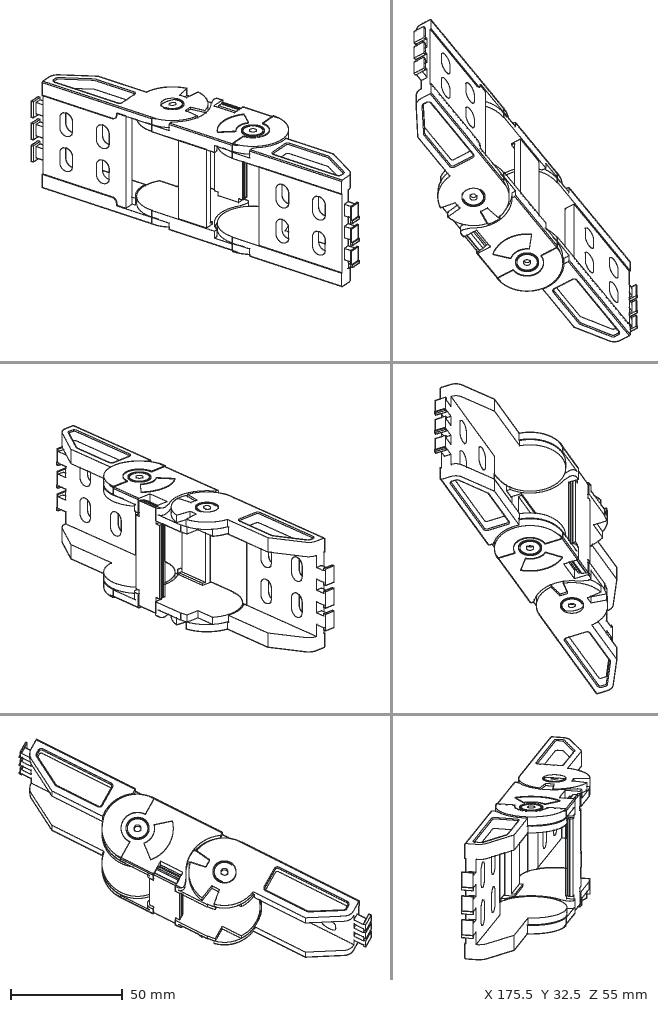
import cadquery as cq
import math


INNER_Z = 20.0
MID_Z = 23.5
RIGHT_TAB_Z = 23.1
OUTER_Z = 27.1
RAISED_Z = 27.5
EDGE_CHAMFER = 0.5
INNER = (INNER_Z, MID_Z)
OUTER = (MID_Z, OUTER_Z)
WHOLE = (INNER_Z, OUTER_Z)

HEIGHT = 32.5
PIVOT_Y = HEIGHT / 2
PIVOT_X = 22.0
DISC_R = 16.0
LINK_CLEARANCE_R = 17.3
BRACKET_CLEARANCE_R = 16.6
CLEARANCE_FOOT = 9.6
RING_R = 5.2
RING_WIDTH = 0.6
RING_DEPTH = 0.4
RAMP_DROP = 1.5
PIVOT_HOLE_R = 1.6
PIVOT_HOLE_DEPTH = 2.0

END_X = 81.75
ARM_Y = 18.6
NOSE_Y = 8.2
SLOPE_X = 64.2
NOSE_FILLET = 5.0
BASE_THICK = 5.3
BASE_RECESS = 0.5
BASE_EDGE_X = 36.3
RECESS_STEP = [(43.0, INNER_Z), (41.5, INNER_Z + 1), (41.0, MID_Z)]
MOUNT_SLOT = (6.9, 11.8)
MOUNT_SLOT_X = (49.0, 69.0)
MOUNT_SLOT_Z = 8.9

POCKET = [(41.5, 3.4), (41.5, 15.1), (63.8, 15.1), (78.1, 6.7), (78.1, 3.4)]
POCKET_DEPTH = 5.0
POCKET_FILLET = 1.0
POCKET_CHAMFER = 0.5

HOOK_PITCH = 11.2
STEM_WIDTH = 5.8
STEM_Y = 2.1
HEAD_WIDTH = 8.2
HEAD_THICK = 1.2
LIP_OUT = 0.5
HEAD_X = 87.75
LIP_HEIGHT = 1.3

NOTCH_BASE_R = 8.5
NOTCH_RIM_R = 17.5
NOTCH_BASE_WIDTH = 3.8
NOTCH_RIM_WIDTH = 6.6
LUG_TOP_Z = OUTER_Z - 1.0
MARK_DEPTH = 0.3

BAR_HALF = 7.65
FRONT_BAR_THICK = 3.2
BAR_FOOT_HEIGHT = 1.0
STOP_X = 25.6
STOP_Y = 25.2
RELIEF_TOP_X = 12.0
RELIEF_LOW_X = 16.5
RELIEF_LOW_Y = 2.5
RELIEF_FILLET = 2.0
CRESCENT_R = 7.4
SECTOR_R = (7.6, 16.0)
SECTOR_HALF_ANGLE = 40.5

CROSSBAR_Y = (28.6, 32.0)
CROSSBAR_HALF_LENGTH = 18.2
TONGUE_HALF = 5.6
TONGUE_Y = 25.2
TONGUE_FLOOR_Z = 22.0
TONGUE_STEPS = [(TONGUE_Y, TONGUE_FLOOR_Z), (26.0, 22.3), (27.2, 24.5), (28.0, 24.5), (29.0, 25.5),
                (31.0, 25.5), (31.0, 26.0), (CROSSBAR_Y[1], 26.0)]
GROOVE_Y = (29.4, 30.5)
GROOVE_WIDTH = 0.2
GROOVE_DEPTH = 0.5


def block(x, y, z):
    """Box from (min, max) pairs."""
    return cq.Workplane("XY").box(
        x[1] - x[0], y[1] - y[0], z[1] - z[0], centered=False
    ).translate((x[0], y[0], z[0]))


def disc(x, radius, z):
    """Round plate about a pivot between two Z levels."""
    return (cq.Workplane("XY", origin=(x, PIVOT_Y, z[0]))
            .circle(radius).extrude(z[1] - z[0]))


def plate(points, z):
    """Plate with a straight-sided XY outline between two Z levels."""
    return (cq.Workplane("XY", origin=(0, 0, z[0]))
            .polyline(points).close().extrude(z[1] - z[0]))


def with_mirror(cheek):
    """The cheek together with its twin on the -Z side."""
    return cheek.union(cheek.mirror("XY"))


def edge_bevel(y, direction):
    """Wedge that bevels a cheek's outer long edge at y; direction is +1 or -1 into the cheek."""
    c = EDGE_CHAMFER
    return (cq.Workplane("YZ", origin=(-END_X, 0, 0))
            .polyline([(y, OUTER_Z - c), (y, OUTER_Z + c),
                       (y + 2 * c * direction, OUTER_Z + c)]).close()
            .extrude(2 * END_X))


def pivot_ring(x, top_z):
    """Shallow ring groove and blind centre hole cut into a pivot."""
    ring = disc(x, RING_R, (top_z - RING_DEPTH, top_z)).cut(
        disc(x, RING_R - RING_WIDTH, (top_z - RING_DEPTH, top_z)))
    return ring.union(disc(x, PIVOT_HOLE_R, (top_z - PIVOT_HOLE_DEPTH, top_z)))


def arm(z):
    """Straight arm with its sloped nose, ending at the pivot."""
    outline = [(-END_X, 0), (-PIVOT_X, 0), (-PIVOT_X, ARM_Y), (-SLOPE_X, ARM_Y), (-END_X, NOSE_Y)]
    return plate(outline, z).edges(
        cq.selectors.NearestToPointSelector((-END_X, NOSE_Y, (z[0] + z[1]) / 2))
    ).fillet(NOSE_FILLET)


def cheek_pocket():
    """Five-sided pocket in the arm's outer face, with a chamfered rim."""
    outline = [(-x, y) for x, y in POCKET]
    body = plate(outline, (OUTER_Z - POCKET_DEPTH, OUTER_Z)).edges("|Z").fillet(POCKET_FILLET)
    flare = (cq.Workplane("XY", origin=(0, 0, OUTER_Z))
             .add(body.faces(">Z").wires().vals()).toPending()
             .offset2D(POCKET_CHAMFER).extrude(-POCKET_CHAMFER, taper=45))
    return body.union(flare)


def bracket_clearance(z, foot_x):
    """Room for the link's disc; foot_x is the straight wall near the front edge."""
    return disc(-PIVOT_X, BRACKET_CLEARANCE_R, z).union(
        block((foot_x, 0), (0, BASE_THICK), z))


def hook(z, lip):
    """T-shaped hook; a lipped one has a shorter head whose -Z end steps outward."""
    tip = -HEAD_X + LIP_OUT if lip else -HEAD_X
    stem = block((tip, -END_X), (STEM_Y, BASE_THICK), (z - STEM_WIDTH / 2, z + STEM_WIDTH / 2))
    low = z - HEAD_WIDTH / 2
    body = stem.union(block((tip, -HEAD_X + HEAD_THICK), (0, BASE_THICK), (low, low + HEAD_WIDTH)))
    if lip:
        body = body.union(block((-HEAD_X, tip), (0, BASE_THICK), (low, low + LIP_HEIGHT)))
    return body


def base_panel():
    """Panel joining the two cheeks, with four mounting slots."""
    panel = block((-END_X, -BASE_EDGE_X), (BASE_RECESS, BASE_THICK), (-INNER_Z, INNER_Z))
    centers = [(-x, z) for x in MOUNT_SLOT_X for z in (-MOUNT_SLOT_Z, MOUNT_SLOT_Z)]
    slots = (cq.Workplane("XZ").pushPoints(centers)
             .slot2D(MOUNT_SLOT[1], MOUNT_SLOT[0], 90).extrude(-BASE_THICK))
    return panel.cut(slots)


def make_bracket(disc_layer, arm_layer, clearance_foot, lip):
    """Bracket in its left-hand place: disc in disc_layer, arm_layer cut back to clear the link."""
    cheek = arm(WHOLE).cut(bracket_clearance(arm_layer, clearance_foot))
    cheek = cheek.union(disc(-PIVOT_X, DISC_R, disc_layer))
    cheek = cheek.union(block((-PIVOT_X - DISC_R, -PIVOT_X), (0, PIVOT_Y), disc_layer))
    cheek = cheek.cut(edge_bevel(0, 1)).cut(cheek_pocket())
    body = with_mirror(cheek).union(base_panel())
    for step in (-1, 0, 1):
        body = body.union(hook(step * HOOK_PITCH, lip))
    return body


def notch(angle, z):
    """Tapered slot running out through the left disc's rim."""
    a, b = NOTCH_BASE_WIDTH / 2, NOTCH_RIM_WIDTH / 2
    outline = [(NOTCH_BASE_R, -a), (NOTCH_RIM_R, -b), (NOTCH_RIM_R, b), (NOTCH_BASE_R, a)]
    return (plate(outline, z).rotate((0, 0, 0), (0, 0, 1), angle)
            .translate((-PIVOT_X, PIVOT_Y, 0)))


def hub_ramp():
    """The outer half of the left hub slopes down away from the pivot's centre line."""
    ramp = (cq.Workplane("XZ", origin=(-PIVOT_X, PIVOT_Y + RING_R, 0))
            .polyline([(-RING_R, OUTER_Z), (0, OUTER_Z), (-RING_R, OUTER_Z - RAMP_DROP)]).close()
            .extrude(2 * RING_R))
    return ramp.intersect(disc(-PIVOT_X, RING_R, WHOLE))


def left_recess():
    """Widened recess in front of the left panel, beside the disc."""
    outline = [(-x, z) for x, z in RECESS_STEP] + [(-BASE_EDGE_X, MID_Z), (-BASE_EDGE_X, INNER_Z)]
    return (cq.Workplane("XZ").polyline(outline).close().extrude(-BASE_RECESS))


left_cuts = (notch(90, OUTER)
             .union(notch(0, OUTER))
             .union(pivot_ring(-PIVOT_X, OUTER_Z))
             .union(hub_ramp())
             .union(left_recess()))
left_bracket = make_bracket(OUTER, INNER, -BASE_EDGE_X, False).cut(with_mirror(left_cuts))

right_bracket = make_bracket((INNER_Z, RIGHT_TAB_Z), (RIGHT_TAB_Z, OUTER_Z),
                             -PIVOT_X - CLEARANCE_FOOT, True).mirror("YZ")


def link_clearance(z):
    """Room for a bracket disc, drawn at the left pivot."""
    relief = [(0, 0), (RELIEF_LOW_X, 0), (RELIEF_LOW_X, RELIEF_LOW_Y), (RELIEF_TOP_X, PIVOT_Y),
              (-DISC_R, PIVOT_Y)]
    return (disc(-PIVOT_X, LINK_CLEARANCE_R, z)
            .union(plate(relief, z).translate((-PIVOT_X, PIVOT_Y, 0)))
            .union(block((-PIVOT_X - DISC_R, -PIVOT_X + CLEARANCE_FOOT), (0, PIVOT_Y), z)))


def sector_mark():
    """Shallow fan-shaped recess beside the right pivot."""
    z = (OUTER_Z - MARK_DEPTH, OUTER_Z)
    reach = 2 * SECTOR_R[1]
    rise = reach * math.tan(math.radians(SECTOR_HALF_ANGLE))
    fan = plate([(0, 0), (-reach, rise), (-reach, -rise)], z).translate((PIVOT_X, PIVOT_Y, 0))
    return fan.intersect(disc(PIVOT_X, SECTOR_R[1], z)).cut(disc(PIVOT_X, SECTOR_R[0], z))


def crescent():
    """Raised half-disc with its hub left low."""
    z = (OUTER_Z, RAISED_Z)
    half = disc(PIVOT_X, DISC_R, z).intersect(block((PIVOT_X, PIVOT_X + DISC_R), (0, HEIGHT), z))
    return half.cut(disc(PIVOT_X, CRESCENT_R, z))


def tongue_notch():
    """Stepped notch in the link's back edge that takes the crossbar's tongue."""
    width = (-TONGUE_HALF, TONGUE_HALF)
    return block(width, (TONGUE_Y, HEIGHT), (TONGUE_FLOOR_Z, OUTER_Z)).union(
        block(width, (CROSSBAR_Y[0], HEIGHT), WHOLE))


def front_bar():
    """Bar joining the cheeks at the front, with a thicker foot at each end."""
    width = (-BAR_HALF, BAR_HALF)
    bar = block(width, (BASE_RECESS, BASE_RECESS + FRONT_BAR_THICK), (-INNER_Z, INNER_Z))
    foot = block(width, (BASE_RECESS, BASE_THICK), (INNER_Z - BAR_FOOT_HEIGHT, INNER_Z))
    return bar.union(with_mirror(foot))


def round_corner(layer, x, z):
    """Round a layer's back corner next to its sloped relief."""
    corner = cq.selectors.NearestToPointSelector((x, HEIGHT, (z[0] + z[1]) / 2))
    return layer.edges("|Z").edges(corner).fillet(RELIEF_FILLET)


def make_link():
    """Link whose left disc is in the inner layer and whose right disc is in the outer layer."""
    span = (-PIVOT_X, PIVOT_X)
    corner_x = PIVOT_X - RELIEF_TOP_X
    inner = block(span, (0, HEIGHT), INNER).union(disc(-PIVOT_X, DISC_R, INNER))
    inner = inner.cut(link_clearance(INNER).mirror("YZ"))
    inner = round_corner(inner, corner_x, INNER)
    inner = inner.cut(block((-PIVOT_X - DISC_R, -STOP_X), (STOP_Y, HEIGHT), INNER))
    outer = block(span, (0, HEIGHT), OUTER).union(disc(PIVOT_X, DISC_R, OUTER))
    outer = outer.cut(link_clearance(OUTER))
    outer = round_corner(outer, -corner_x, OUTER)
    cheek = inner.union(outer).union(notch(0, (MID_Z, LUG_TOP_Z)))
    cheek = cheek.cut(edge_bevel(0, 1)).cut(edge_bevel(HEIGHT, -1))
    cheek = cheek.cut(sector_mark()).cut(pivot_ring(PIVOT_X, OUTER_Z)).union(crescent())
    cheek = cheek.cut(tongue_notch())
    return with_mirror(cheek).union(front_bar())


link = make_link()


def tongue():
    """Stepped snap tongue that fills the notch in a cheek."""
    low, back = CROSSBAR_Y
    profile = [(low, CROSSBAR_HALF_LENGTH), (low, TONGUE_FLOOR_Z)]
    profile += TONGUE_STEPS
    profile.append((back, CROSSBAR_HALF_LENGTH))
    return (cq.Workplane("YZ", origin=(-TONGUE_HALF, 0, 0))
            .polyline(profile).close().extrude(2 * TONGUE_HALF))


def make_crossbar():
    """Bar with two fine grooves along each side and a tongue at each end."""
    bar = block((-BAR_HALF, BAR_HALF), CROSSBAR_Y, (-CROSSBAR_HALF_LENGTH, CROSSBAR_HALF_LENGTH))
    for y in GROOVE_Y:
        for x in (-BAR_HALF, BAR_HALF):
            bar = bar.cut(block((x - GROOVE_DEPTH, x + GROOVE_DEPTH),
                                (y - GROOVE_WIDTH / 2, y + GROOVE_WIDTH / 2),
                                (-CROSSBAR_HALF_LENGTH, CROSSBAR_HALF_LENGTH)))
    return bar.union(with_mirror(tongue()))


crossbar = make_crossbar()

result = cq.Compound.makeCompound(
    [left_bracket.val(), link.val(), right_bracket.val(), crossbar.val()])